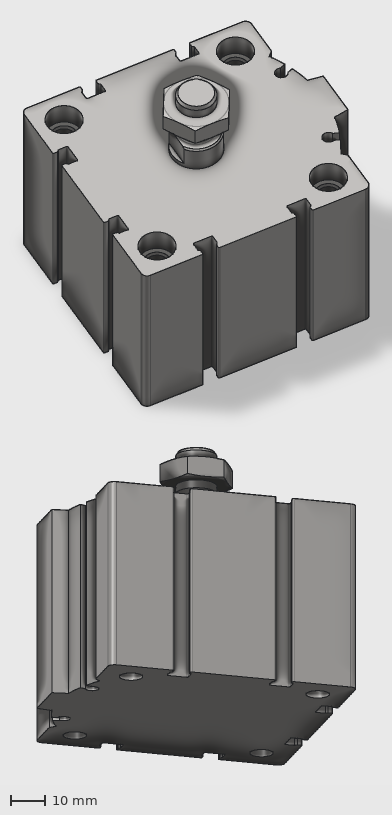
import cadquery as cq
import math

housing_width = 75.0
housing_height = 56.0
corner_radius = 2.0

crown_radius = 42.0
crown_end_x = 21.8
rib_rear_y = 46.0
rib_tip_half_width = 7.5
rib_root_half_width = 8.3

keyhole_angle = 21.9
keyhole_center_radius = 38.7
keyhole_diameter = 3.8
keyhole_mouth_width = 2.75

slot_offset = 15.45
slot_mouth_width = 5.1
slot_inner_width = 6.35
slot_lip_depth = 2.1
slot_depth = 5.1
slot_edge_radius = 0.3

bolt_circle_diameter = 80.0
hole_diameter = 6.8
countersink_diameter = 8.0
counterbore_diameter = 11.0
counterbore_depth = 7.0

rod_diameter = 16.0
shoulder_height = 8.0
shoulder_chamfer = 0.5
flat_bottom = 1.4
flat_width = 13.0
groove_diameter = 10.2
groove_fillet = 0.7
groove_top = 9.0
thread_start = 11.4
thread_diameter = 12.0
tip_diameter = 10.7
tip_chamfer_height = 1.0
rod_height = 24.0

nut_across_flats = 19.0
nut_bottom = 13.9
nut_thickness = 6.0
nut_chamfer_angle = 15.0

half_width = housing_width / 2
hole_offset = bolt_circle_diameter / 2 / math.sqrt(2)
countersink_depth = (countersink_diameter - hole_diameter) / 2
flat_offset = flat_width / 2
nut_corner_radius = nut_across_flats / math.sqrt(3)


def crown_point(x):
    """Point on the crown arc at the given X."""
    return (x, math.sqrt(crown_radius**2 - x**2))


def housing_blank():
    crown_end = crown_point(crown_end_x)
    rib_root = crown_point(rib_root_half_width)
    arc_middle = crown_point((crown_end_x + rib_root_half_width) / 2)
    bevel_start_x = crown_end_x + half_width - crown_end[1]
    half = (
        cq.Workplane("XY")
        .moveTo(0, -half_width)
        .lineTo(half_width - corner_radius, -half_width)
        .radiusArc((half_width, corner_radius - half_width), -corner_radius)
        .lineTo(half_width, half_width - corner_radius)
        .radiusArc((half_width - corner_radius, half_width), -corner_radius)
        .lineTo(bevel_start_x, half_width)
        .lineTo(*crown_end)
        .threePointArc(arc_middle, rib_root)
        .lineTo(rib_tip_half_width, rib_rear_y)
        .lineTo(0, rib_rear_y)
        .mirrorY()
    )
    return half.extrude(housing_height)


def t_slot(offset):
    """T-slot cutter that opens through the -Y face at the given X.

    The mouth edges and the far corners are rounded, and the lips slope at 45 degrees behind.
    """
    half_mouth = slot_mouth_width / 2
    half_inner = slot_inner_width / 2
    lip_slope = half_inner - half_mouth
    radius = slot_edge_radius
    half = (
        cq.Workplane("XY")
        .lineTo(half_mouth + radius, 0)
        .radiusArc((half_mouth, radius), radius)
        .lineTo(half_mouth, slot_lip_depth - lip_slope)
        .lineTo(half_inner, slot_lip_depth)
        .lineTo(half_inner, slot_depth - radius)
        .radiusArc((half_inner - radius, slot_depth), -radius)
        .lineTo(0, slot_depth)
        .mirrorY()
    )
    return half.extrude(housing_height).translate((offset, -half_width, 0))


def keyhole(angle):
    """Keyhole cutter whose mouth points away from the Z axis, turned from +Y by the angle."""
    bore = cq.Workplane("XY").center(0, keyhole_center_radius).circle(keyhole_diameter / 2)
    mouth = cq.Workplane("XY").box(
        keyhole_mouth_width, crown_radius, housing_height, centered=(True, False, False)
    )
    cutter = bore.extrude(housing_height).union(mouth.translate((0, keyhole_center_radius, 0)))
    return cutter.rotate((0, 0, 0), (0, 0, 1), angle)


def mounting_hole():
    """Counterbored, countersunk through hole on the Z axis."""
    floor = housing_height - counterbore_depth
    return (
        cq.Workplane("XZ")
        .polyline(
            [
                (0, 0),
                (hole_diameter / 2, 0),
                (hole_diameter / 2, floor - countersink_depth),
                (countersink_diameter / 2, floor),
                (counterbore_diameter / 2, floor),
                (counterbore_diameter / 2, housing_height),
                (0, housing_height),
            ]
        )
        .close()
        .revolve(360, (0, 0, 0), (0, 1, 0))
    )


def make_housing():
    housing = housing_blank()
    for side_angle in (-90, 0, 90):
        for offset in (-slot_offset, slot_offset):
            housing = housing.cut(t_slot(offset).rotate((0, 0, 0), (0, 0, 1), side_angle))
    for angle in (-keyhole_angle, keyhole_angle):
        housing = housing.cut(keyhole(angle))
    for x in (-hole_offset, hole_offset):
        for y in (-hole_offset, hole_offset):
            housing = housing.cut(mounting_hole().translate((x, y, 0)))
    return housing


def make_rod():
    rod_radius = rod_diameter / 2
    groove_radius = groove_diameter / 2
    thread_radius = thread_diameter / 2
    fillet_center = (groove_radius + groove_fillet, shoulder_height + groove_fillet)
    fillet_reach = groove_fillet * math.sqrt(0.5)
    rod = (
        cq.Workplane("XZ")
        .lineTo(rod_radius, 0)
        .lineTo(rod_radius, shoulder_height - shoulder_chamfer)
        .lineTo(rod_radius - shoulder_chamfer, shoulder_height)
        .lineTo(fillet_center[0], shoulder_height)
        .threePointArc(
            (fillet_center[0] - fillet_reach, fillet_center[1] - fillet_reach),
            (groove_radius, fillet_center[1]),
        )
        .lineTo(groove_radius, groove_top)
        .lineTo(thread_radius, thread_start)
        .lineTo(thread_radius, rod_height - tip_chamfer_height)
        .lineTo(tip_diameter / 2, rod_height)
        .lineTo(0, rod_height)
        .close()
        .revolve(360, (0, 0, 0), (0, 1, 0))
    )
    flat_cutter = cq.Workplane("XY").box(
        rod_diameter, rod_diameter, shoulder_height - flat_bottom, centered=(True, False, False)
    )
    rear_cutter = flat_cutter.translate((0, flat_offset, flat_bottom))
    rod = rod.cut(rear_cutter).cut(rear_cutter.mirror("XZ"))
    return rod.translate((0, 0, housing_height))


def make_nut():
    hexagon = (
        cq.Workplane("XY")
        .polygon(6, 2 * nut_corner_radius)
        .extrude(nut_thickness)
        .rotate((0, 0, 0), (0, 0, 1), 30)
    )
    face_radius = nut_across_flats / 2
    bevel_drop = (nut_corner_radius - face_radius) * math.tan(math.radians(nut_chamfer_angle))
    turned_blank = (
        cq.Workplane("XZ")
        .polyline(
            [
                (thread_diameter / 2, 0),
                (face_radius, 0),
                (nut_corner_radius, bevel_drop),
                (nut_corner_radius, nut_thickness - bevel_drop),
                (face_radius, nut_thickness),
                (thread_diameter / 2, nut_thickness),
            ]
        )
        .close()
        .revolve(360, (0, 0, 0), (0, 1, 0))
    )
    return hexagon.intersect(turned_blank).translate((0, 0, housing_height + nut_bottom))


housing = make_housing()
rod = make_rod()
nut = make_nut()

result = cq.Compound.makeCompound([housing.val(), rod.val(), nut.val()])